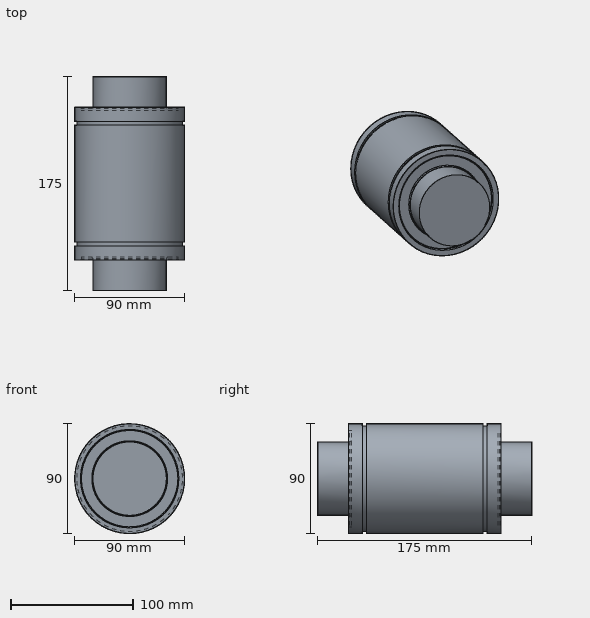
import cadquery as cq
shaft_length = 175.0
shaft_diameter = 60.0
sleeve_length = 125.0
sleeve_diameter = 90.0
edge_chamfer = 0.2

groove_diameter = 86.5
groove_width = 3.2
groove_to_sleeve_end = 11.5

recess_diameter = 78.8
mouth_chamfer = 0.9
recess_depth = 2.6
lip_base_diameter = 62.0
lip_tip_diameter = 60.5
lip_height = 1.4


def cylinder(diameter, length, start):
    """Cylinder along +Y beginning at Y = start."""
    base = cq.Workplane("XZ", origin=(0, start, 0))
    return base.circle(diameter / 2).extrude(-length)


def ring_groove(start):
    """Ring of material to remove from the sleeve surface."""
    outer = cylinder(sleeve_diameter, groove_width, start)
    return outer.cut(cylinder(groove_diameter, groove_width, start))


def end_recess():
    """Chamfered recess at the -Y sleeve end, with the tapered seal lip left standing."""
    mouth_y = -sleeve_length / 2
    floor_y = mouth_y + recess_depth
    lip_tip_y = floor_y - lip_height
    return (
        cq.Workplane("XY")
        .moveTo(0, mouth_y)
        .lineTo(recess_diameter / 2 + mouth_chamfer, mouth_y)
        .lineTo(recess_diameter / 2, mouth_y + mouth_chamfer)
        .lineTo(recess_diameter / 2, floor_y)
        .lineTo(lip_base_diameter / 2, floor_y)
        .lineTo(lip_tip_diameter / 2, lip_tip_y)
        .lineTo(0, lip_tip_y)
        .close()
        .revolve(360, (0, 0, 0), (0, 1, 0))
    )


sleeve = cylinder(sleeve_diameter, sleeve_length, -sleeve_length / 2)
sleeve = sleeve.edges().chamfer(edge_chamfer)

first_groove_y = -sleeve_length / 2 + groove_to_sleeve_end
for groove_y in (first_groove_y, -first_groove_y - groove_width):
    sleeve = sleeve.cut(ring_groove(groove_y))

recess = end_recess()
sleeve = sleeve.cut(recess).cut(recess.mirror("XZ"))

shaft = cylinder(shaft_diameter, shaft_length, -shaft_length / 2)
result = sleeve.union(shaft)